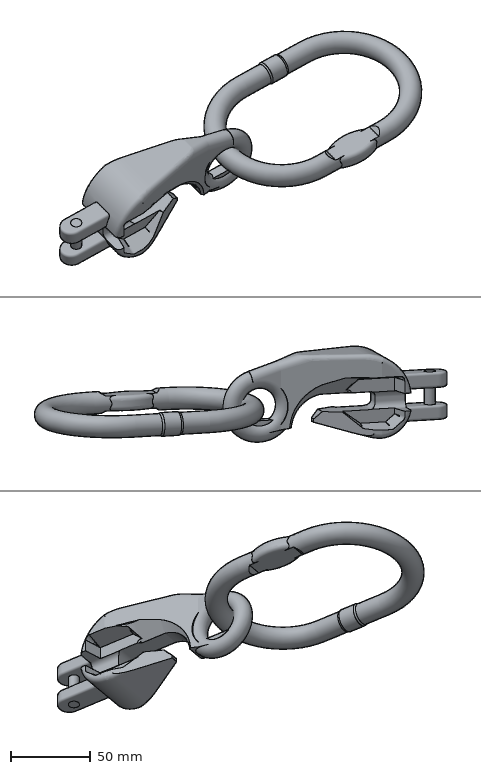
import cadquery as cq
import math


wire_dia = 14.0
ring_bend_radius = 41.8
ring_straight = 49.0
overall_length = 270.0
tail_y = -124.1
ring_top_y = overall_length + tail_y
ring_centre_y = ring_top_y - wire_dia / 2 - ring_bend_radius - ring_straight / 2

sleeve_dia = 15.0
sleeve_length = 11.0
sleeve_lead_in = 1.3

plate_length = 33.7
plate_end_half_width = 5.0
plate_mid_half_width = 10.0
plate_half_height = 4.9
plate_edge_round = 3.0
plate_ramp = 3.0

eye_major_radius = 17.3
eye_wire_radius = 6.0
eye_outer_radius = eye_major_radius + eye_wire_radius
eye_seat_z = -9.0
eye_seat_width = 6.5

top_z = 31.8
slope_end_y = -25.5
back_arc_start_y = -65.9
back_radius = 29.7
back_y = back_arc_start_y - back_radius
back_centre_z = top_z - back_radius
belly_radius = 20.8
belly_centre = (back_y + belly_radius, -1.3)
tip_bottom = (-35.5, -12.1)
tip_shoulder_z = -10.0
tip_top_y = -40.5

half_width = 19.7
taper_start_y = -13.0
taper_end_y = -75.3
slope_round = 5.5
body_round = 3.2

tip_half_width = 2.5
jaw_taper_end_y = -70.2

slot_top_z = 6.2
slot_bottom_z = -5.0
slot_end_y = -75.5
slot_round = 4.3
throat_curve_start_y = -38.9
throat_curve_mid = (-27.5, 1.0)
throat_curve_end = (-19.7, -14.0)
throat_flare_angle = 52.0
flare_start_y = -56.7
flare_tip_gap = 0.8

pocket_top_z = 14.5
pocket_bottom_z = -13.5
pocket_front_y = -53.2
pocket_floor_start_y = -64.8
pocket_roof_start_y = -62.0
pocket_back_y = -87.5
pocket_corner = (-81.5, -8.6)
pocket_draft = 13.0

web_waist_half_width = 4.5

arm_width = 15.0
arm_start_y = pocket_back_y
upper_arm_z = (slot_top_z, 16.0)
lower_arm_z = (-14.3, slot_bottom_z)
arm_round = 1.5
pin_dia = 7.0
pin_y = -113.0

shortest_side_edge = 0.3


def both_sides(cutter):
    return cutter.union(cutter.mirror("YZ"))


def make_ring():
    half = ring_straight / 2
    path = (
        cq.Workplane("XY")
        .moveTo(-ring_bend_radius, ring_centre_y)
        .lineTo(-ring_bend_radius, ring_centre_y + half)
        .threePointArc((0, ring_centre_y + half + ring_bend_radius), (ring_bend_radius, ring_centre_y + half))
        .lineTo(ring_bend_radius, ring_centre_y - half)
        .threePointArc((0, ring_centre_y - half - ring_bend_radius), (-ring_bend_radius, ring_centre_y - half))
        .close()
    )
    wire = (
        cq.Workplane("XZ", origin=(-ring_bend_radius, ring_centre_y, 0))
        .circle(wire_dia / 2)
        .sweep(path)
    )
    return wire.union(make_sleeve()).cut(make_plate_recess()).union(make_plate())


def make_sleeve():
    half = sleeve_length / 2
    return (
        cq.Workplane("XY", origin=(-ring_bend_radius, ring_centre_y, 0))
        .moveTo(0, -half - sleeve_lead_in)
        .lineTo(wire_dia / 2, -half - sleeve_lead_in)
        .lineTo(sleeve_dia / 2, -half)
        .lineTo(sleeve_dia / 2, half)
        .lineTo(wire_dia / 2, half + sleeve_lead_in)
        .lineTo(0, half + sleeve_lead_in)
        .close()
        .revolve(360, (0, 0, 0), (0, 1, 0))
    )


def make_plate():
    half = plate_length / 2
    return (
        cq.Workplane("XY", origin=(ring_bend_radius, ring_centre_y, -plate_half_height))
        .moveTo(-plate_end_half_width, -half)
        .threePointArc((-plate_mid_half_width, 0), (-plate_end_half_width, half))
        .lineTo(plate_end_half_width, half)
        .threePointArc((plate_mid_half_width, 0), (plate_end_half_width, -half))
        .close()
        .extrude(2 * plate_half_height)
        .faces("<Z or >Z")
        .edges("%CIRCLE")
        .fillet(plate_edge_round)
    )


def make_plate_recess():
    """Flats above and below the plate, with a ramp up to the wire at each end."""
    half = plate_length / 2
    ramp_end = half + plate_ramp
    upper = (
        cq.Workplane("YZ", origin=(ring_bend_radius, ring_centre_y, 0))
        .polyline([
            (-half, plate_half_height),
            (half, plate_half_height),
            (ramp_end, wire_dia / 2),
            (-ramp_end, wire_dia / 2),
        ])
        .close()
        .extrude(wire_dia / 2, both=True)
    )
    return upper.union(upper.mirror("XY"))


def tangent_point(centre, radius, outside_point, turn):
    """Where a line from a point touches a circle; turn is the side of the centre line, 1 or -1."""
    along_y = outside_point[0] - centre[0]
    along_z = outside_point[1] - centre[1]
    angle = math.atan2(along_z, along_y) + turn * math.acos(radius / math.hypot(along_y, along_z))
    return (centre[0] + radius * math.cos(angle), centre[1] + radius * math.sin(angle))


def plan_half_width(y):
    """Half width of the tapered part of the hook."""
    taper = (half_width - eye_wire_radius) / (taper_start_y - taper_end_y)
    return eye_wire_radius + taper * (taper_start_y - y)


def make_hook_blank():
    """Outer form of the hook: the side outline, narrowed in plan towards the eye."""
    slope_start = tangent_point((0, 0), eye_outer_radius, (slope_end_y, top_z), -1)
    belly_end = tangent_point(belly_centre, belly_radius, tip_bottom, -1)
    diagonal = back_radius * math.sqrt(0.5)
    belly_diagonal = belly_radius * math.sqrt(0.5)
    belly_mid = (belly_centre[0] - belly_diagonal, belly_centre[1] - belly_diagonal)
    side = (
        cq.Workplane("YZ")
        .moveTo(*slope_start)
        .lineTo(slope_end_y, top_z)
        .lineTo(back_arc_start_y, top_z)
        .threePointArc((back_arc_start_y - diagonal, back_centre_z + diagonal), (back_y, back_centre_z))
        .lineTo(back_y, belly_centre[1])
        .threePointArc(belly_mid, belly_end)
        .lineTo(*tip_bottom)
        .lineTo(*throat_curve_end)
        .lineTo(0, -eye_major_radius)
        .close()
        .extrude(half_width, both=True)
    )
    plan = (
        cq.Workplane("XY", origin=(0, 0, -top_z))
        .polyline([
            (-eye_wire_radius, eye_outer_radius),
            (eye_wire_radius, eye_outer_radius),
            (eye_wire_radius, taper_start_y),
            (half_width, taper_end_y),
            (half_width, back_y),
            (-half_width, back_y),
            (-half_width, taper_end_y),
            (-eye_wire_radius, taper_start_y),
        ])
        .close()
        .extrude(2 * top_z)
    )
    return side.intersect(plan)


def cut_throat(body):
    """Slot between the jaws, open towards the eye, and the bevelled end of the lower jaw."""
    throat = (
        cq.Workplane("YZ")
        .moveTo(slot_end_y + slot_round, slot_top_z)
        .lineTo(throat_curve_start_y, slot_top_z)
        .threePointArc(throat_curve_mid, throat_curve_end)
        .lineTo(throat_curve_end[0], -eye_outer_radius)
        .lineTo(tip_bottom[0], -eye_outer_radius)
        .lineTo(tip_bottom[0], tip_shoulder_z)
        .lineTo(tip_top_y, slot_bottom_z)
        .lineTo(slot_end_y + slot_round, slot_bottom_z)
        .radiusArc((slot_end_y, slot_bottom_z + slot_round), slot_round)
        .lineTo(slot_end_y, slot_top_z - slot_round)
        .radiusArc((slot_end_y + slot_round, slot_top_z), slot_round)
        .close()
        .extrude(half_width, both=True)
    )
    return body.cut(throat)


def round_contour(body):
    """Round the long outer edges of the side faces."""
    def follows_side(edge):
        is_long = edge.BoundingBox().ylen > shortest_side_edge
        return is_long and abs(edge.Center().x) > eye_wire_radius / 2

    def on_slope(edge):
        return follows_side(edge) and edge.Center().y > slope_end_y and edge.Center().z > eye_outer_radius

    def on_top(edge):
        return follows_side(edge) and edge.Center().y < throat_curve_start_y and edge.Center().z > pocket_top_z

    def on_belly(edge):
        return follows_side(edge) and edge.Center().y < tip_bottom[0] and edge.Center().z < tip_bottom[1]

    body = body.edges().filter(on_slope).fillet(slope_round)
    body = body.edges().filter(on_top).fillet(body_round)
    return body.edges().filter(on_belly).fillet(body_round)


def make_jaw_taper():
    """Narrows the lower jaw in plan to a blunt point."""
    wedge = (
        cq.Workplane("XY", origin=(0, 0, -eye_outer_radius))
        .polyline([
            (tip_half_width, tip_bottom[0]),
            (half_width, tip_bottom[0]),
            (half_width, jaw_taper_end_y),
            (plan_half_width(jaw_taper_end_y), jaw_taper_end_y),
        ])
        .close()
        .extrude(eye_outer_radius + slot_bottom_z)
    )
    return both_sides(wedge)


def make_throat_flare():
    """Slopes the roof of the throat up towards each side face."""
    flare = (
        cq.Workplane("YZ", origin=(eye_wire_radius, 0, 0))
        .moveTo(flare_start_y, slot_top_z)
        .lineTo(throat_curve_start_y, slot_top_z)
        .threePointArc(throat_curve_mid, throat_curve_end)
        .lineTo(tip_bottom[0], slot_bottom_z)
        .lineTo(flare_start_y, slot_bottom_z)
        .close()
        .extrude(half_width - eye_wire_radius, taper=-throat_flare_angle)
    )
    roof_z = pocket_top_z + (half_width - arm_width / 2) * math.tan(math.radians(pocket_draft))
    clear_of_tip_y = tip_bottom[0] + flare_tip_gap
    allowed = (
        cq.Workplane("YZ")
        .polyline([
            (flare_start_y - half_width, roof_z),
            (0, roof_z),
            (0, -eye_outer_radius),
            (clear_of_tip_y, -eye_outer_radius),
            (clear_of_tip_y, slot_bottom_z),
            (flare_start_y - half_width, slot_bottom_z),
        ])
        .close()
        .extrude(half_width)
    )
    return both_sides(flare.intersect(allowed))


def make_pockets():
    """Drafted recess in each side that holds one side of a chain link."""
    pocket = (
        cq.Workplane("YZ", origin=(arm_width / 2, 0, 0))
        .moveTo(pocket_back_y, pocket_top_z)
        .lineTo(pocket_roof_start_y, pocket_top_z)
        .lineTo(pocket_front_y, slot_top_z)
        .lineTo(pocket_front_y, slot_bottom_z)
        .lineTo(pocket_floor_start_y, pocket_bottom_z)
        .lineTo(pocket_corner[0], pocket_bottom_z)
        .lineTo(pocket_back_y, pocket_corner[1])
        .close()
        .extrude(half_width - arm_width / 2, taper=-pocket_draft)
    )
    return both_sides(pocket)


def make_web_grooves():
    """Round-cornered channel along each side of the web, from the throat out through the back."""
    length = slot_end_y + slot_round - back_y
    groove = (
        cq.Workplane("XY")
        .box(half_width, length, slot_top_z - slot_bottom_z, centered=(False, False, False))
        .edges("<X and |Y")
        .fillet(slot_round)
        .translate((web_waist_half_width, back_y, slot_bottom_z))
    )
    return both_sides(groove)


def make_eye():
    """Round-wire eye with a flat seat across the bottom of its hole."""
    eye = cq.Workplane(cq.Solid.makeTorus(eye_major_radius, eye_wire_radius, dir=cq.Vector(1, 0, 0)))
    seat = (
        cq.Workplane("YZ")
        .circle(eye_major_radius)
        .extrude(eye_seat_width / 2, both=True)
        .intersect(
            cq.Workplane("XY", origin=(0, 0, eye_seat_z))
            .rect(2 * eye_outer_radius, 2 * eye_outer_radius)
            .extrude(-eye_outer_radius)
        )
    )
    return eye.union(seat)


def make_arm(arm_bottom_z, arm_top_z):
    arm_radius = arm_width / 2
    return (
        cq.Workplane("XY", origin=(0, 0, arm_bottom_z))
        .moveTo(-arm_radius, arm_start_y)
        .lineTo(arm_radius, arm_start_y)
        .lineTo(arm_radius, tail_y + arm_radius)
        .threePointArc((0, tail_y), (-arm_radius, tail_y + arm_radius))
        .close()
        .extrude(arm_top_z - arm_bottom_z)
        .faces("<Z or >Z")
        .edges("not >Y")
        .fillet(arm_round)
    )


def make_hook():
    eye_opening = cq.Workplane("YZ").circle(eye_major_radius).extrude(half_width, both=True)
    body = cut_throat(make_hook_blank()).cut(make_web_grooves())
    body = round_contour(body).cut(make_jaw_taper())
    body = body.cut(make_throat_flare()).cut(make_pockets())
    body = body.cut(eye_opening).union(make_eye())
    for arm_bottom_z, arm_top_z in (lower_arm_z, upper_arm_z):
        body = body.union(make_arm(arm_bottom_z, arm_top_z))
    return body.cut(make_pin())


def make_pin():
    return (
        cq.Workplane("XY", origin=(0, pin_y, lower_arm_z[0]))
        .circle(pin_dia / 2)
        .extrude(upper_arm_z[1] - lower_arm_z[0])
    )


ring = make_ring()
hook = make_hook()
pin = make_pin()
result = cq.Compound.makeCompound([ring.val(), hook.val(), pin.val()])